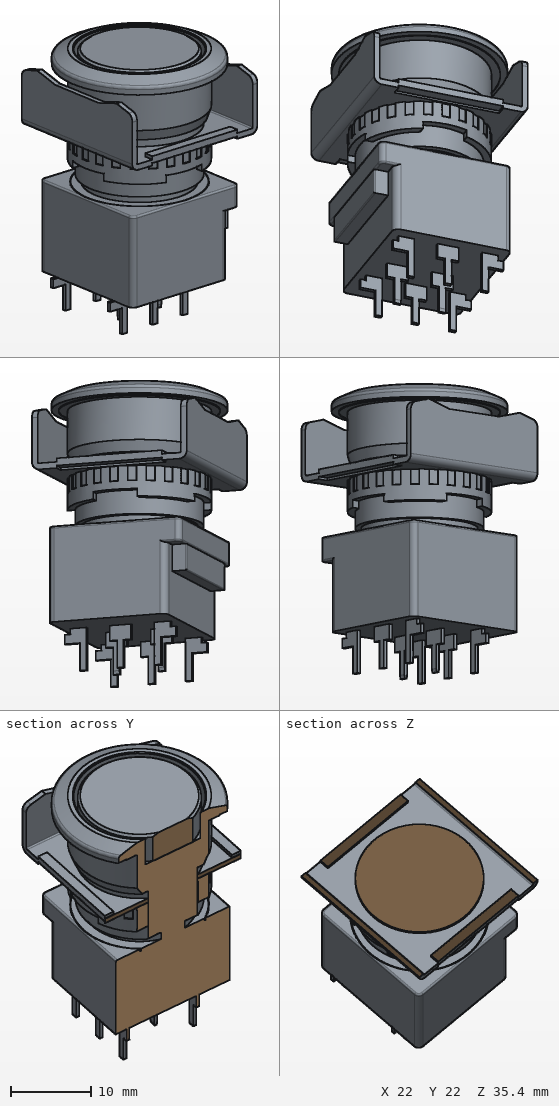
import cadquery as cq
import math


top_z = 35.4
bezel_bottom_z = 33.4
wide_barrel_end_z = 27.9
barrel_cone_end_z = 26.48
bracket_bottom_z = 24.6
nut_bottom_z = 20.7
thread_end_z = 18.65
base_top_z = 17.63
base_bottom_z = 5.4

bezel_radius = 22.0 / 2
bezel_face_radius = 8.95
bezel_slope_drop = 0.92
bezel_rim_fillet = 0.5
lip_radius = 10.1
lip_height = 0.1
wide_barrel_radius = 9.0
barrel_cone_end_radius = 8.5
thread_radius = 8.05
neck_radius = 7.3

bore_radius = 8.2
bore_chamfer = 0.15
button_radius = 7.7
button_chamfer = 0.32
bore_depth = 4.25

bracket_length = 21.05
bracket_width = 20.67
bracket_thickness = 0.78
bracket_bend_radius = 1.0
bracket_inner_bend_radius = 0.18
ear_peak_x = 7.55
ear_peak_z = 32.85
ear_valley_x = 4.15
ear_slope = math.radians(15)
ear_corner_radius = 1.03
tab_width = 14.05
tab_depth = 1.38
tab_rise = 0.45
tab_recess = 0.32

nut_radius = wide_barrel_radius
grip_slot_count = 24
grip_slot_width = 1.1
grip_slot_depth = 0.18
grip_slot_bottom_z = 22.73
notch_count = 4
notch_width = 5.88
notch_top_z = 21.65

base_width = 17.65
base_corner_fillet = 0.75
base_edge_fillet = 0.25
base_groove_radius = 8.6
base_groove_width = 0.07
base_groove_depth = 0.35
overhang_bottom_z = 14.55
lower_back_y = 6.95
lower_back_fillet = 0.9
boss_width = 13.45
boss_bottom_z = 11.2
boss_fillet = 0.15

terminal_thickness = 0.5
leg_width = 0.85
shoulder_z = 3.5
contact_row_xs = (-6.95, 3.85)
contact_pitch = 5.0
middle_contact_y = -1.0
lamp_terminal_y = 3.0
blade_width = 2.83
outer_blade_width = 2.12
outer_wing_width = 2.85
wing_top_z = 4.7
lamp_tip_height = 0.5
lamp_tip_thickness = 0.32


def disc(radius, bottom_z, height):
    """Upright cylinder on the button axis."""
    return cq.Workplane("XY").workplane(offset=bottom_z).circle(radius).extrude(height)


def block(x_min, x_max, y_min, y_max, z_min, z_max):
    """Box given by its limits."""
    size = (x_max - x_min, y_max - y_min, z_max - z_min)
    return cq.Workplane("XY").box(*size, centered=False).translate((x_min, y_min, z_min))


def make_barrel():
    """Turned upper part of the switch body: bezel and stepped barrel, bored for the button."""
    slope_end_z = top_z - bezel_slope_drop
    lip_bottom_z = bezel_bottom_z - lip_height
    profile = [
        (0, base_top_z),
        (neck_radius, base_top_z),
        (neck_radius, thread_end_z),
        (thread_radius, thread_end_z),
        (thread_radius, barrel_cone_end_z),
        (barrel_cone_end_radius, barrel_cone_end_z),
        (wide_barrel_radius, wide_barrel_end_z),
        (wide_barrel_radius, lip_bottom_z),
        (lip_radius, lip_bottom_z),
        (lip_radius, bezel_bottom_z),
        (bezel_radius, bezel_bottom_z),
        (bezel_radius, slope_end_z),
        (bezel_face_radius, top_z),
        (0, top_z),
    ]
    barrel = cq.Workplane("XZ").polyline(profile).close().revolve(360, (0, 0), (0, 1))
    rim_edges = barrel.edges("%CIRCLE").edges(cq.selectors.RadiusNthSelector(-1))
    barrel = rim_edges.edges(">Z").fillet(bezel_rim_fillet)

    bore_rim = (
        cq.Workplane("XY").workplane(offset=top_z).circle(bore_radius + bore_chamfer)
        .extrude(-bore_chamfer, taper=45)
    )
    return barrel.cut(disc(bore_radius, top_z - bore_depth, bore_depth)).cut(bore_rim)


def make_button():
    """Round button that stands on the floor of the bore, flush with the bezel."""
    return disc(button_radius, top_z - bore_depth, bore_depth).faces(">Z").chamfer(button_chamfer)


def make_bracket():
    """U-shaped bracket with two ears, standing on the ring nut."""
    half_length = bracket_length / 2
    half_width = bracket_width / 2
    plate_top_z = bracket_bottom_z + bracket_thickness

    channel = block(-half_length, half_length, -half_width, half_width, bracket_bottom_z, ear_peak_z)
    channel = channel.edges("|X and <Z").fillet(bracket_bend_radius)
    inner_half_width = half_width - bracket_thickness
    inside = block(-half_length, half_length, -inner_half_width, inner_half_width, plate_top_z, ear_peak_z)
    channel = channel.cut(inside.edges("|X and <Z").fillet(bracket_inner_bend_radius))

    shoulder_drop = (half_length - ear_peak_x) * math.tan(ear_slope)
    valley_drop = (ear_peak_x - ear_valley_x) * math.tan(ear_slope)
    ear_outline = [
        (-half_length, bracket_bottom_z),
        (-half_length, ear_peak_z - shoulder_drop),
        (-ear_peak_x, ear_peak_z),
        (-ear_valley_x, ear_peak_z - valley_drop),
        (ear_valley_x, ear_peak_z - valley_drop),
        (ear_peak_x, ear_peak_z),
        (half_length, ear_peak_z - shoulder_drop),
        (half_length, bracket_bottom_z),
    ]
    outline = cq.Workplane("XZ").polyline(ear_outline).close().extrude(half_width, both=True)
    outline = outline.edges("|Y and (<X or >X)").edges(">Z").fillet(ear_corner_radius)
    bracket = channel.intersect(outline)

    for side in (-1, 1):
        x_min, x_max = sorted((side * half_length, side * (half_length - tab_depth)))
        tab_limits = (x_min, x_max, -tab_width / 2, tab_width / 2)
        bracket = bracket.union(block(*tab_limits, plate_top_z, plate_top_z + tab_rise))
        bracket = bracket.cut(block(*tab_limits, bracket_bottom_z, bracket_bottom_z + tab_recess))

    return bracket.cut(disc(thread_radius, bracket_bottom_z, top_z - bracket_bottom_z))


def make_nut():
    """Ring nut with grip slots around its top and wrench notches in its bottom."""
    nut = disc(nut_radius, nut_bottom_z, bracket_bottom_z - nut_bottom_z)

    slot_floor_radius = nut_radius - grip_slot_depth
    slot = block(
        slot_floor_radius, nut_radius + 0.35, -grip_slot_width / 2, grip_slot_width / 2,
        grip_slot_bottom_z, bracket_bottom_z,
    )
    for i in range(grip_slot_count):
        nut = nut.cut(slot.rotate((0, 0, 0), (0, 0, 1), i * 360 / grip_slot_count))

    notch = block(0, nut_radius + 0.35, -notch_width / 2, notch_width / 2, nut_bottom_z, notch_top_z)
    for i in range(notch_count):
        nut = nut.cut(notch.rotate((0, 0, 0), (0, 0, 1), i * 360 / notch_count))

    return nut.cut(disc(thread_radius, nut_bottom_z, bracket_bottom_z - nut_bottom_z))


def terminal(outline, x):
    """Flat terminal cut from sheet, with its outline given as (Y, Z) points."""
    return (
        cq.Workplane("YZ").polyline(outline).close().extrude(terminal_thickness / 2, both=True)
        .translate((x, 0, 0))
    )


def straight_terminal(x, y):
    """Terminal with a centred leg."""
    half_leg = leg_width / 2
    half_blade = blade_width / 2
    outline = [
        (y - half_leg, 0),
        (y + half_leg, 0),
        (y + half_leg, shoulder_z),
        (y + half_blade, shoulder_z),
        (y + half_blade, base_bottom_z),
        (y - half_blade, base_bottom_z),
        (y - half_blade, shoulder_z),
        (y - half_leg, shoulder_z),
    ]
    return terminal(outline, x)


def winged_terminal(x, y, side):
    """Terminal with its leg on the inner edge and a wing that points to the given Y side."""
    inner_y = y - side * leg_width / 2
    outline = [
        (inner_y, 0),
        (inner_y + side * leg_width, 0),
        (inner_y + side * leg_width, shoulder_z),
        (inner_y + side * outer_wing_width, shoulder_z),
        (inner_y + side * outer_wing_width, wing_top_z),
        (inner_y + side * outer_blade_width, wing_top_z),
        (inner_y + side * outer_blade_width, base_bottom_z),
        (inner_y, base_bottom_z),
    ]
    return terminal(outline, x)


def lamp_terminal(y):
    """Centred terminal whose tip is thinned on both faces."""
    tip_profile = [
        (-lamp_tip_thickness / 2, 0),
        (lamp_tip_thickness / 2, 0),
        (terminal_thickness / 2, lamp_tip_height),
        (terminal_thickness / 2, base_bottom_z),
        (-terminal_thickness / 2, base_bottom_z),
        (-terminal_thickness / 2, lamp_tip_height),
    ]
    envelope = cq.Workplane("XZ").polyline(tip_profile).close().extrude(base_width / 2, both=True)
    return straight_terminal(0, y).intersect(envelope)


def make_base():
    """Lower part of the switch body: block with an overhang and boss at the back, and terminals."""
    half = base_width / 2
    upper = block(-half, half, -half, half, overhang_bottom_z, base_top_z)
    upper = upper.edges("|Z").fillet(base_corner_fillet)
    upper = upper.faces("<Z or >Z").fillet(base_edge_fillet)

    lower_top_z = base_top_z - base_edge_fillet
    lower = block(-half, half, -half, lower_back_y, base_bottom_z, lower_top_z)
    lower = lower.edges("|Z and <Y").fillet(base_corner_fillet)
    lower = lower.edges("|Z and >Y").fillet(lower_back_fillet)

    boss = block(-boss_width / 2, boss_width / 2, 0, half, boss_bottom_z, overhang_bottom_z)
    boss = boss.edges(">Y and (|Z or <Z)").fillet(boss_fillet)
    base = upper.union(lower).union(boss)

    groove_floor_z = base_top_z - base_groove_depth
    groove = disc(base_groove_radius + base_groove_width, groove_floor_z, base_groove_depth)
    base = base.cut(groove.cut(disc(base_groove_radius, groove_floor_z, base_groove_depth)))

    for x in contact_row_xs:
        base = base.union(straight_terminal(x, middle_contact_y))
        for side in (-1, 1):
            base = base.union(winged_terminal(x, middle_contact_y + side * contact_pitch, side))
    for side in (-1, 1):
        base = base.union(lamp_terminal(side * lamp_terminal_y))
    return base


switch_body = make_barrel().union(make_base())
button = make_button()
bracket = make_bracket()
nut = make_nut()

result = cq.Compound.makeCompound([switch_body.val(), button.val(), bracket.val(), nut.val()])